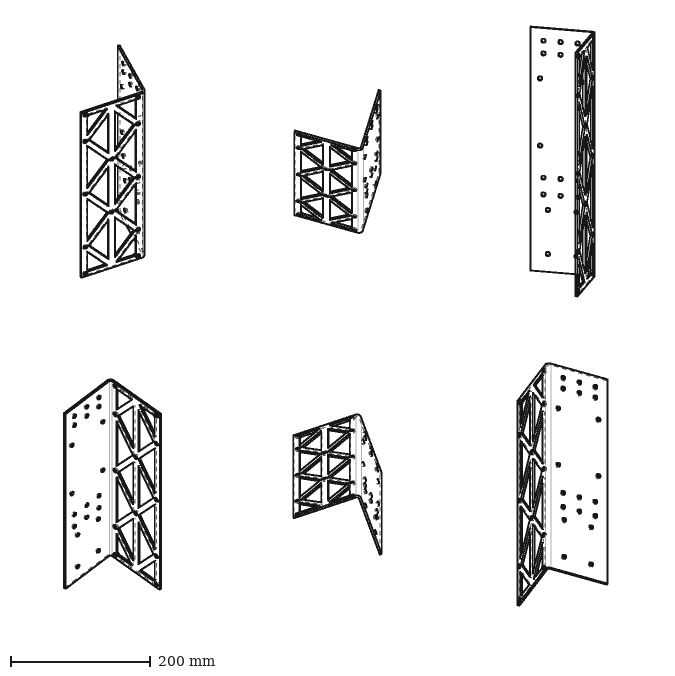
import cadquery as cq

height = 367.0
back_width = 96.0
side_width = 101.0
thickness = 3.2
inner_bend_radius = 3.0
outer_bend_radius = inner_bend_radius + thickness

back_hole_diameter = 6.2
back_left = -back_width
grid_pitch = 25.5
grid_center_x = back_left + 44.5
upper_grid_z = 155.0
upper_grid_row_pitch = 19.0
lower_grid_z = -54.7
wide_hole_span = 63.5
wide_hole_height = 101.5
wide_hole_center = (back_left + 46.0, 56.5)
narrow_hole_span = 42.5
narrow_hole_height = 66.5
narrow_hole_center = (back_left + 47.0, -123.5)

side_hole_diameter = 6.5
lattice_center_y = -53.2
node_pitch_y = 41.0
node_pitch_z = 59.0
outer_node = 3
opening_width = 76.5
opening_margin = 9.0
opening_height = height - 2 * opening_margin
opening_corner_chamfer = 3.0
spine_width = 10.3
diagonal_half_width = 5.5


def make_sheet():
    angle = (
        cq.Workplane("XY")
        .workplane(offset=-height / 2)
        .polyline([
            (-back_width, 0),
            (0, 0),
            (0, -side_width),
            (-thickness, -side_width),
            (-thickness, -thickness),
            (-back_width, -thickness),
        ])
        .close()
        .extrude(height)
    )
    angle = angle.edges(cq.selectors.NearestToPointSelector((0, 0, 0))).fillet(outer_bend_radius)
    inner_corner = cq.selectors.NearestToPointSelector((-thickness, -thickness, 0))
    return angle.edges(inner_corner).fillet(inner_bend_radius)


def make_back_holes():
    plane = cq.Workplane("XZ")
    radius = back_hole_diameter / 2
    patterns = [
        ((grid_center_x, upper_grid_z), grid_pitch, upper_grid_row_pitch, 3),
        ((grid_center_x, lower_grid_z), grid_pitch, grid_pitch, 3),
        (wide_hole_center, wide_hole_span, wide_hole_height, 2),
        (narrow_hole_center, narrow_hole_span, narrow_hole_height, 2),
    ]
    holes = cq.Workplane("XZ")
    for center, column_pitch, row_pitch, columns in patterns:
        pattern = plane.center(*center).rarray(column_pitch, row_pitch, columns, 2)
        holes = holes.add(pattern.circle(radius).extrude(thickness))
    return holes.combine()


def side_plane():
    """Inner face of the side leg, with the lattice centre as its origin."""
    return cq.Workplane("YZ", origin=(-thickness, lattice_center_y, 0))


def make_diagonal(side, center_node, side_node):
    """One rib from a node on the spine to a node at the edge of the lattice."""
    center_z = center_node * node_pitch_z
    side_y = side * node_pitch_y
    side_z = side_node * node_pitch_z
    return (
        side_plane()
        .polyline([
            (-diagonal_half_width, center_z),
            (diagonal_half_width, center_z),
            (side_y + diagonal_half_width, side_z),
            (side_y - diagonal_half_width, side_z),
        ])
        .close()
        .extrude(thickness)
    )


def make_lattice_windows():
    windows = (
        side_plane()
        .rect(opening_width, opening_height)
        .extrude(thickness)
        .edges("|X")
        .chamfer(opening_corner_chamfer)
    )
    windows = windows.cut(side_plane().rect(spine_width, opening_height).extrude(thickness))
    for side in (-1, 1):
        for lower_node in range(-outer_node, outer_node):
            upper_node = lower_node + 1
            if lower_node % 2:
                rib = make_diagonal(side, lower_node, upper_node)
            else:
                rib = make_diagonal(side, upper_node, lower_node)
            windows = windows.cut(rib)
    return windows


def make_side_holes():
    edge_z = [node * node_pitch_z for node in (-3, -2, 0, 2, 3)]
    points = [(side * node_pitch_y, z) for side in (-1, 1) for z in edge_z]
    points += [(0, -node_pitch_z), (0, node_pitch_z)]
    return side_plane().pushPoints(points).circle(side_hole_diameter / 2).extrude(thickness)


result = make_sheet().cut(make_back_holes()).cut(make_lattice_windows()).cut(make_side_holes())